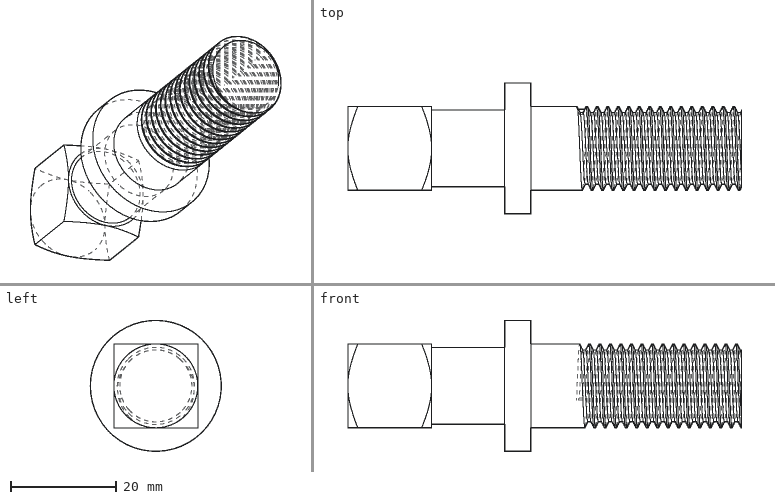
import cadquery as cq
import math

total_length = 75.0
major_diameter = 16.0
head_width = major_diameter
head_length = 16.0
neck_diameter = 14.7
collar_start = 29.85
collar_thickness = 5.0
collar_diameter = 25.0
head_chamfer_angle = 30.0

thread_length = 30.0
thread_turns = 15
thread_pitch = thread_length / thread_turns
thread_depth = 1.1
groove_start = 44.4
groove_start_angle = 70.0
crest_width = 0.3
root_width = 0.6
groove_overcut = 0.2

head_start = -total_length / 2
major_radius = major_diameter / 2


def cylinder(start, length, diameter):
    """Round bar along X, with its start measured from the head's outer face."""
    return (
        cq.Workplane("YZ", origin=(head_start + start, 0, 0))
        .circle(diameter / 2)
        .extrude(length)
    )


def make_head():
    """Square head with its corners turned to a cone at both ends."""
    block = (
        cq.Workplane("YZ", origin=(head_start, 0, 0))
        .rect(head_width, head_width)
        .extrude(head_length)
    )
    face_radius = head_width / 2
    corner_radius = head_width / math.sqrt(2)
    chamfer_length = (corner_radius - face_radius) * math.tan(math.radians(head_chamfer_angle))
    head_end = head_start + head_length
    turned_envelope = (
        cq.Workplane("XY")
        .moveTo(head_start, 0)
        .lineTo(head_start, face_radius)
        .lineTo(head_start + chamfer_length, corner_radius)
        .lineTo(head_end - chamfer_length, corner_radius)
        .lineTo(head_end, face_radius)
        .lineTo(head_end, 0)
        .close()
        .revolve(360, (0, 0, 0), (1, 0, 0))
    )
    return block.intersect(turned_envelope)


def make_thread_groove():
    """Helical cutter starting just before the +Y side and running out past the tip."""
    root_radius = major_radius - thread_depth
    outer_radius = major_radius + groove_overcut
    groove_width = thread_pitch - crest_width
    flank_slope = (groove_width - root_width) / 2 / thread_depth
    outer_half_width = groove_width / 2 + flank_slope * groove_overcut
    groove_length = total_length - groove_start + thread_pitch
    helix = cq.Wire.makeHelix(thread_pitch, groove_length, root_radius)
    cutter = (
        cq.Workplane("XZ")
        .polyline([
            (root_radius, -root_width / 2),
            (outer_radius, -outer_half_width),
            (outer_radius, outer_half_width),
            (root_radius, root_width / 2),
        ])
        .close()
        .sweep(cq.Workplane(obj=helix), isFrenet=True)
    )
    return (
        cutter.rotate((0, 0, 0), (0, 1, 0), 90)
        .rotate((0, 0, 0), (1, 0, 0), groove_start_angle)
        .translate((head_start + groove_start, 0, 0))
    )


collar_end = collar_start + collar_thickness
neck = cylinder(head_length, collar_start - head_length, neck_diameter)
collar = cylinder(collar_start, collar_thickness, collar_diameter)
shank = cylinder(collar_end, total_length - collar_end, major_diameter)
threaded_shank = shank.cut(make_thread_groove())

result = make_head().union(neck).union(collar).union(threaded_shank)